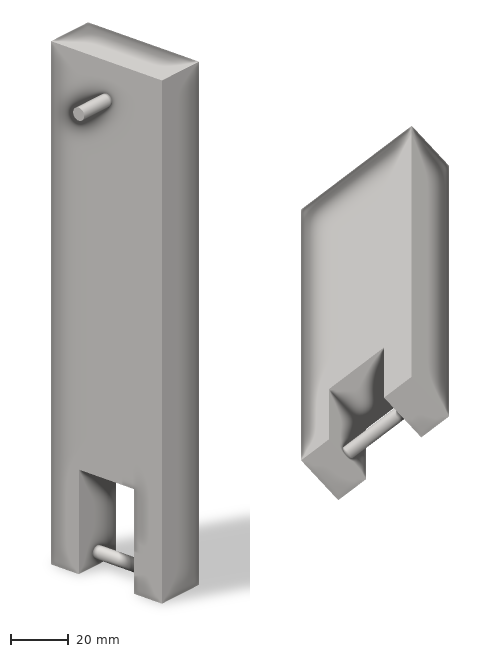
import cadquery as cq

bar_width = 50.0
bar_thickness = 20.0
bar_height = 200.0

slot_width = bar_width / 2
slot_height = 40.0

pin_diameter = 5.0
front_pin_length = 15.0
front_pin_drop = 15.0
cross_pin_height = 5.0


def upright_block(width, height):
    """Block through the full bar thickness, standing on Z = 0."""
    return cq.Workplane("XY").box(width, bar_thickness, height, centered=(True, False, False))


def front_pin():
    """Pin standing out of the front face, toward -Y."""
    return (
        cq.Workplane("XZ")
        .center(0, bar_height - front_pin_drop)
        .circle(pin_diameter / 2)
        .extrude(front_pin_length)
    )


def cross_pin():
    """Pin bridging the slot between the two legs, midway through the thickness."""
    return (
        cq.Workplane("YZ")
        .center(bar_thickness / 2, cross_pin_height)
        .circle(pin_diameter / 2)
        .extrude(slot_width / 2, both=True)
    )


forked_bar = upright_block(bar_width, bar_height).cut(upright_block(slot_width, slot_height))
result = forked_bar.union(front_pin()).union(cross_pin())